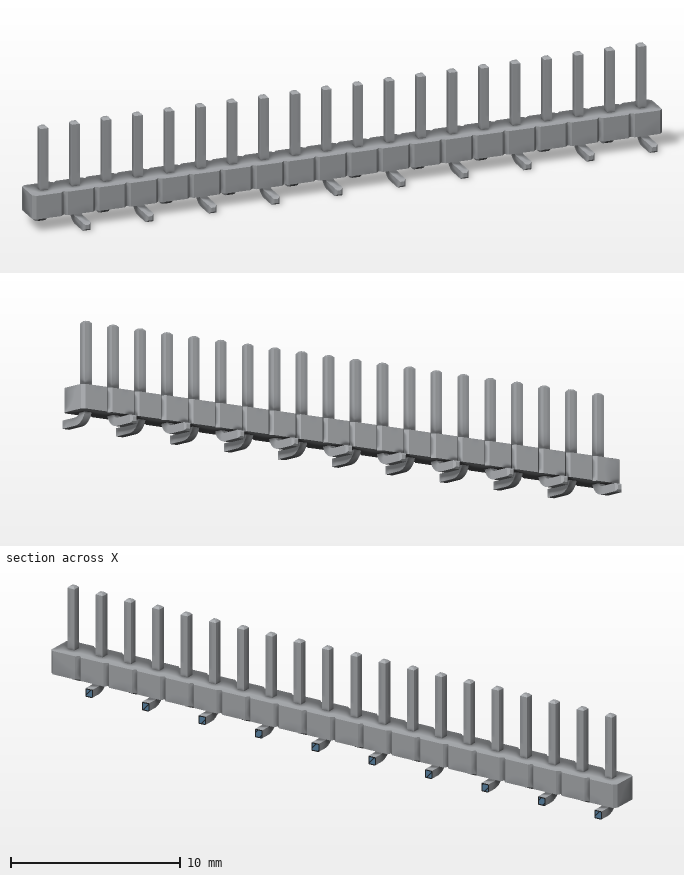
import cadquery as cq

pin_count = 20
body_length = 40.0
pitch = body_length / pin_count
body_width = 2.0
body_bottom = 0.7
body_height = 1.5
corner_chamfer = 0.2

overall_height = 6.2
foot_span = 4.2
pin_width = pitch / 4
inner_bend_radius = 0.5
tip_chamfer = 0.1


def make_segment():
    """One body cell, whose chamfered vertical edges form the V-grooves between neighbours."""
    cell = cq.Workplane("XY").box(body_width, pitch, body_height, centered=(True, True, False))
    return cell.edges("|Z").chamfer(corner_chamfer).translate((0, 0, body_bottom))


def make_pin():
    """One square wire: an upright post with a foot bent toward -X along the base plane."""
    half_width = pin_width / 2
    outer_bend_radius = inner_bend_radius + pin_width
    bend_x = half_width - outer_bend_radius
    bend_z = outer_bend_radius
    pin = (
        cq.Workplane("XZ")
        .moveTo(-foot_span / 2, 0)
        .lineTo(bend_x, 0)
        .radiusArc((half_width, bend_z), -outer_bend_radius)
        .lineTo(half_width, overall_height)
        .lineTo(-half_width, overall_height)
        .lineTo(-half_width, bend_z)
        .radiusArc((bend_x, pin_width), inner_bend_radius)
        .lineTo(-foot_span / 2, pin_width)
        .close()
        .extrude(half_width, both=True)
    )
    pin = pin.faces(">Z").chamfer(tip_chamfer)
    return pin.faces("<X").chamfer(tip_chamfer)


segment = make_segment()
left_pin = make_pin()
right_pin = left_pin.rotate((0, 0, 0), (0, 0, 1), 180)

parts = []
for index in range(pin_count):
    y = (index - (pin_count - 1) / 2) * pitch
    pin = left_pin if index % 2 == 0 else right_pin
    parts.append(segment.translate((0, y, 0)).val())
    parts.append(pin.translate((0, y, 0)).val())

result = cq.Workplane("XY").newObject([parts[0].fuse(*parts[1:]).clean()])